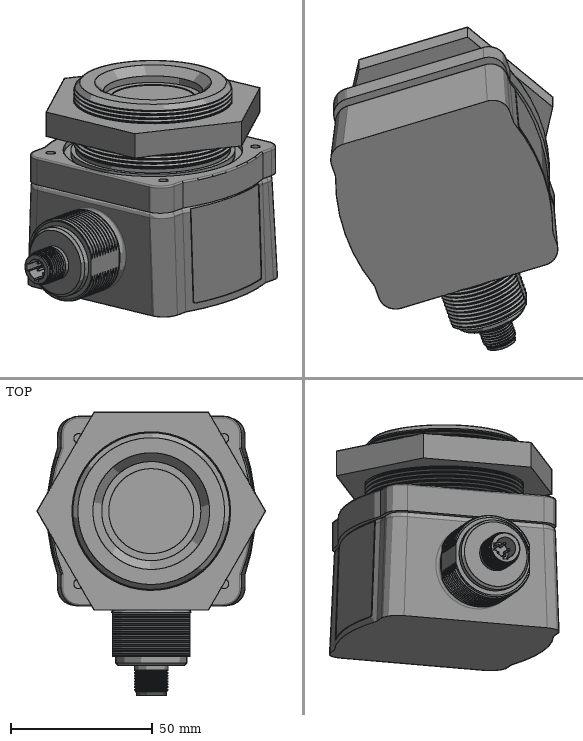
import cadquery as cq
import math

cup_height = 38.3
lid_top = 48.2
stud_top = 73.1
nut_bottom = 57.6
nut_thickness = 9.0

overall_length = 100.2
nut_across_flats = 70.0

corner_radius = 6.3
lid_side = 31.8
lid_bulge = 36.1
lid_end = 33.6
flat_end = 22.3
lid_edge_round = 0.6

cup_front = 33.3
cup_base_side, cup_base_bulge, cup_base_back = 33.1, 36.9, 33.0
cup_top_side, cup_top_bulge, cup_top_back = 31.7, 35.5, 31.5
cup_edge_round = 2.1

panel_half_width = 19.0
panel_bottom = 2.5
panel_depth = 0.3
panel_corner = 0.9

screw_hole_spacing = 51.5
screw_hole_diameter = 3.3
ring_outer_radius = 31.7
ring_inner_radius = 29.0
ring_depth = 2.0

stud_radius = 28.0
stud_pitch = 1.5
stud_neck_radius = 27.4
stud_neck_top = 49.6
stud_chamfer = 2.1
stud_first_groove = 49.9
dish_radius = 20.6
dish_chamfer = 3.1
dish_depth = 5.5
disc_radius = 15.0
disc_depth = 0.3

connector_height = 19.6
gland_radius = 15.0
gland_pitch = 1.5
gland_flats = 27.4
gland_neck_radius = 13.6
gland_start, gland_end = 35.8, 51.5
gland_first_groove = 36.0
collar_radius = 12.6
collar_end = 54.6
collar_chamfer = 0.9
plug_radius = 6.0
plug_pitch = 1.0
plug_first_groove = 56.7
plug_taper_start, plug_taper_end = 62.9, 64.3
plug_tip_radius = 5.3
plug_end = overall_length - nut_across_flats / 2

socket_radius = 3.7
socket_depth = 8.0
bottom_key_width, bottom_key_reach = 1.8, 4.2
side_key_width, side_key_reach = 2.6, 4.4
pin_count = 5
pin_circle_radius = 2.3
pin_diameter = 0.8
pin_length = 5.0

THREAD_DEPTH = 0.613
CREST_FLAT = 1 / 8
FLANK_SLOPE = math.tan(math.radians(30))
CUT_OVERSHOOT = 0.05


def cut_thread(rod, crest_radius, pitch, first_groove, end):
    """Cut a row of V grooves, one pitch apart, around a rod along Z, from `first_groove` up to `end`."""
    depth = THREAD_DEPTH * pitch
    outer_half = pitch * (1 - CREST_FLAT) / 2 + CUT_OVERSHOOT * FLANK_SLOPE
    root_half = outer_half - (depth + CUT_OVERSHOOT) * FLANK_SLOPE
    root = crest_radius - depth
    outer = crest_radius + CUT_OVERSHOOT
    groove = (
        cq.Workplane("XZ")
        .polyline([(root, -root_half), (outer, -outer_half), (outer, outer_half), (root, root_half)])
        .close()
        .revolve(360, (0, 0, 0), (0, 1, 0))
    )
    groove_count = math.ceil((end - first_groove) / pitch)
    for i in range(groove_count):
        rod = rod.cut(groove.translate((0, 0, first_groove + i * pitch)))
    return rod


def plan_outline(height, side, bulge, front, back, inset=0.0):
    """Closed outline at a given height: rounded rectangle with an arc bulging out on each X side."""
    side, bulge, front, back = side - inset, bulge - inset, front - inset, back - inset
    r = corner_radius
    nick = r * (1 - math.sqrt(0.5))
    return (
        cq.Workplane("XY")
        .workplane(offset=height)
        .moveTo(-side + r, -front)
        .lineTo(side - r, -front)
        .threePointArc((side - nick, -front + nick), (side, -front + r))
        .lineTo(side, -flat_end)
        .threePointArc((bulge, 0), (side, flat_end))
        .lineTo(side, back - r)
        .threePointArc((side - nick, back - nick), (side - r, back))
        .lineTo(-side + r, back)
        .threePointArc((-side + nick, back - nick), (-side, back - r))
        .lineTo(-side, flat_end)
        .threePointArc((-bulge, 0), (-side, -flat_end))
        .lineTo(-side, -front + r)
        .threePointArc((-side + nick, -front + nick), (-side + r, -front))
        .close()
    )


def drafted_block(inset=0.0):
    base = plan_outline(0, cup_base_side, cup_base_bulge, cup_front, cup_base_back, inset)
    top = plan_outline(cup_height, cup_top_side, cup_top_bulge, cup_front, cup_top_back, inset)
    return cq.Workplane(cq.Solid.makeLoft([base.val(), top.val()], True))


def make_cup():
    cup = drafted_block().faces(">Z").edges().fillet(cup_edge_round)
    panel_height = cup_height - panel_bottom
    panel_bars = (
        cq.Workplane("XY")
        .box(4 * lid_bulge, 2 * panel_half_width, panel_height, centered=(True, True, False))
        .translate((0, 0, panel_bottom))
        .faces("<Z")
        .edges("|X")
        .fillet(panel_corner)
    )
    return cup.cut(panel_bars.cut(drafted_block(panel_depth)))


def make_lid():
    lid = plan_outline(cup_height, lid_side, lid_bulge, lid_end, lid_end).extrude(lid_top - cup_height)
    lid = lid.faces(">Z").edges().fillet(lid_edge_round)
    ring_groove = (
        cq.Workplane("XY")
        .workplane(offset=lid_top - ring_depth)
        .circle(ring_outer_radius)
        .circle(ring_inner_radius)
        .extrude(ring_depth)
    )
    screw_holes = (
        cq.Workplane("XY")
        .workplane(offset=cup_height)
        .rect(screw_hole_spacing, screw_hole_spacing, forConstruction=True)
        .vertices()
        .circle(screw_hole_diameter / 2)
        .extrude(lid_top - cup_height)
    )
    return lid.cut(ring_groove).cut(screw_holes)


def make_stud():
    dish_floor = stud_top - dish_depth
    stud = (
        cq.Workplane("XZ")
        .moveTo(0, cup_height)
        .lineTo(stud_neck_radius, cup_height)
        .lineTo(stud_neck_radius, stud_neck_top)
        .lineTo(stud_radius, stud_neck_top)
        .lineTo(stud_radius, stud_top - stud_chamfer)
        .lineTo(stud_radius - stud_chamfer, stud_top)
        .lineTo(dish_radius, stud_top)
        .lineTo(dish_radius - dish_chamfer, stud_top - dish_chamfer)
        .lineTo(dish_radius - dish_chamfer, dish_floor)
        .lineTo(disc_radius, dish_floor)
        .lineTo(disc_radius, dish_floor - disc_depth)
        .lineTo(0, dish_floor - disc_depth)
        .close()
        .revolve(360, (0, 0, 0), (0, 1, 0))
    )
    return cut_thread(stud, stud_radius, stud_pitch, stud_first_groove, stud_top - stud_chamfer)


def make_socket():
    """Keyed socket, as a cutter reaching in from the tip of the plug."""
    floor = plug_end - socket_depth
    socket = cq.Workplane("XY").circle(socket_radius).extrude(socket_depth)
    bottom_key = cq.Workplane("XY").box(
        bottom_key_width, bottom_key_reach, socket_depth, centered=(True, False, False)
    )
    side_key = cq.Workplane("XY").box(
        side_key_reach, side_key_width, socket_depth, centered=(False, True, False)
    )
    socket = socket.union(bottom_key.translate((0, -bottom_key_reach, 0)))
    socket = socket.union(side_key.translate((-side_key_reach, 0, 0)))
    pins = (
        cq.Workplane("XY")
        .polarArray(pin_circle_radius, 0, 360, pin_count)
        .circle(pin_diameter / 2)
        .extrude(pin_length)
    )
    return socket.cut(pins).translate((0, 0, floor))


def make_connector():
    """Connector built along +Z and then turned to point along -Y."""
    root = cup_front - cup_edge_round
    gland_root = gland_radius - THREAD_DEPTH * gland_pitch
    neck_middle = (cup_front + gland_start) / 2
    profile = (
        cq.Workplane("XZ")
        .moveTo(0, root)
        .lineTo(gland_radius, root)
        .lineTo(gland_radius, cup_front)
        .threePointArc((gland_neck_radius, neck_middle), (gland_root, gland_start))
        .lineTo(gland_radius, gland_start)
        .lineTo(gland_radius, gland_end)
        .lineTo(collar_radius, gland_end)
        .lineTo(collar_radius, collar_end - collar_chamfer)
        .lineTo(collar_radius - collar_chamfer, collar_end)
        .lineTo(plug_radius, collar_end)
        .lineTo(plug_radius, plug_taper_start)
        .lineTo(plug_tip_radius, plug_taper_end)
        .lineTo(plug_tip_radius, plug_end)
        .lineTo(0, plug_end)
        .close()
    )
    connector = profile.revolve(360, (0, 0, 0), (0, 1, 0))

    connector = cut_thread(connector, gland_radius, gland_pitch, gland_first_groove, gland_end)
    connector = cut_thread(connector, plug_radius, plug_pitch, plug_first_groove, plug_taper_end)

    gland_zone = (
        cq.Workplane("XY")
        .workplane(offset=gland_start)
        .circle(2 * gland_radius)
        .extrude(gland_end - gland_start)
    )
    flat_slabs = gland_zone.cut(
        cq.Workplane("XY").box(gland_flats, 4 * gland_radius, 2 * plug_end)
    )
    connector = connector.cut(flat_slabs).cut(make_socket())
    return connector.rotate((0, 0, 0), (1, 0, 0), 90).translate((0, 0, connector_height))


def make_housing():
    shell = make_cup().union(make_lid())
    return shell.union(make_stud()).union(make_connector()).solids()


def make_nut():
    across_corners = nut_across_flats / math.cos(math.radians(30))
    return (
        cq.Workplane("XY")
        .workplane(offset=nut_bottom)
        .polygon(6, across_corners)
        .circle(stud_radius)
        .extrude(nut_thickness)
    )


housing = make_housing()
nut = make_nut()
result = cq.Compound.makeCompound([housing.val(), nut.val()])